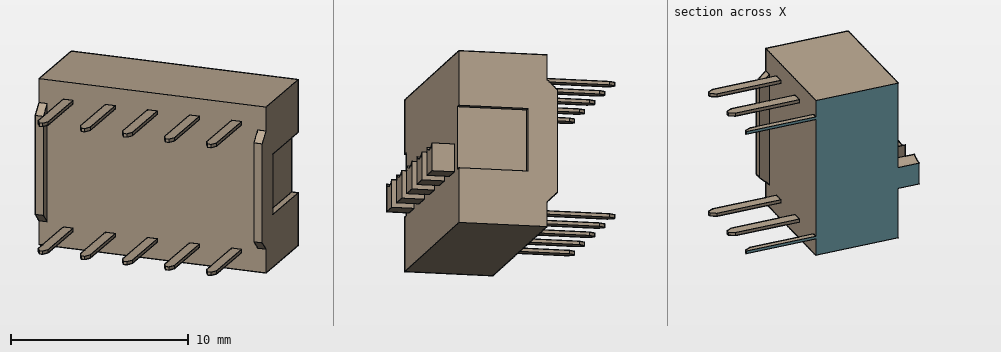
import cadquery as cq
import math

body_length = 13.7
body_depth = 5.1
body_height = 9.9

switch_count = 5
pitch = 2.54

pin_row_spacing = 3 * pitch
pin_width = 0.6
pin_thickness = 0.2
pin_length = 4.3
pin_tip_width = 0.2
pin_tip_length = 0.35

rail_width = 0.5
rail_projection = 0.6
rail_base_height = 7.05
rail_crest_height = 5.9

recess_height = 3.6
recess_run = 4.0
recess_depth = 0.4

slider_width = 1.3
slider_height = 1.6
slider_projection = 1.3
slider_scoop_radius = 1.0

switch_positions = [(i - (switch_count - 1) / 2) * pitch for i in range(switch_count)]
slider_bottom = -recess_height / 2
slider_top = slider_bottom + slider_height
slider_scoop_center_rise = math.sqrt(slider_scoop_radius**2 - (slider_width / 2) ** 2)
slider_scoop_sag = slider_scoop_radius - slider_scoop_center_rise


def make_body():
    """Rectangular housing reaching from the pin side toward +Y."""
    return cq.Workplane("XY").box(
        body_length, body_depth, body_height, centered=(True, False, True)
    )


def make_rail(side):
    """Standoff rail with sloped ends, along one end of the pin side."""
    center_x = side * (body_length - rail_width) / 2
    return (
        cq.Workplane("YZ", origin=(center_x, 0, 0))
        .moveTo(0, -rail_base_height / 2)
        .lineTo(-rail_projection, -rail_crest_height / 2)
        .lineTo(-rail_projection, rail_crest_height / 2)
        .lineTo(0, rail_base_height / 2)
        .close()
        .extrude(rail_width / 2, both=True)
    )


def make_recess(side):
    """Shallow end-wall recess, open toward the slider side."""
    center = (
        side * (body_length - recess_depth) / 2,
        body_depth - recess_run / 2,
        0,
    )
    return cq.Workplane("XY").box(recess_depth, recess_run, recess_height).translate(center)


def make_pin(x, z):
    """Flat pin pointing toward -Y, with a tapered tip."""
    shoulder_y = pin_tip_length - pin_length
    return (
        cq.Workplane("XY", origin=(x, 0, z))
        .moveTo(-pin_width / 2, 0)
        .lineTo(-pin_width / 2, shoulder_y)
        .lineTo(-pin_tip_width / 2, -pin_length)
        .lineTo(pin_tip_width / 2, -pin_length)
        .lineTo(pin_width / 2, shoulder_y)
        .lineTo(pin_width / 2, 0)
        .close()
        .extrude(pin_thickness / 2, both=True)
    )


def make_slider(x):
    """Switch slider pointing toward +Y, with a concave scooped top."""
    half_width = slider_width / 2
    return (
        cq.Workplane("XZ", origin=(x, body_depth, 0))
        .moveTo(-half_width, slider_bottom)
        .lineTo(half_width, slider_bottom)
        .lineTo(half_width, slider_top)
        .threePointArc((0, slider_top - slider_scoop_sag), (-half_width, slider_top))
        .close()
        .extrude(-slider_projection)
    )


part = make_body()

for end in (-1, 1):
    part = part.union(make_rail(end)).cut(make_recess(end))

for switch_x in switch_positions:
    part = part.union(make_slider(switch_x))
    for row_z in (-pin_row_spacing / 2, pin_row_spacing / 2):
        part = part.union(make_pin(switch_x, row_z))

result = part